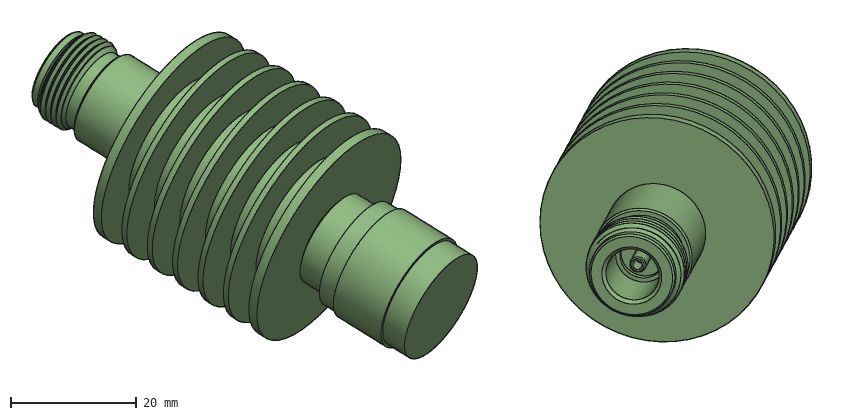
import cadquery as cq

total_length = 77.0

sink_start = 21.7
sink_length = 32.8
sink_radius = 19.0
core_radius = 11.7
flange_thickness = 1.6
fin_count = 5
fin_thickness = 1.0
fin_pitch = 5.1

jack_nose_radius = 6.9
jack_nose_chamfer = 0.3
jack_body_start = 9.25
jack_body_end = 21.25
jack_body_radius = 8.0
jack_body_chamfer = 0.3

thread_start = 1.4
thread_end = 7.0
thread_crest_radius = 8.0
thread_groove_depth = 0.6
groove_root_width = 0.1
groove_crest_width = 1.0
groove_overrun = 0.04
helix_start = 0.4
helix_turns = 7
helix_length = 7.4
rod_overrun = 3.85

socket_radius = 4.3
socket_mouth_chamfer = 0.55
socket_depth = 9.0
inner_socket_radius = 3.6
inner_socket_depth = 10.0
contact_radius = 1.3
contact_chamfer = 0.2
contact_hole_radius = 0.8
contact_hole_depth = 3.1
contact_tip = 5.0

plug_neck_radius = 7.3
plug_body_start = 55.0
plug_body_radius = 8.25
nut_start = 59.9
nut_radius = 9.6
nut_band_start = 63.1
nut_band_end = 72.6
nut_band_radius = 10.1

sink_end = sink_start + sink_length
sink_middle = sink_start + sink_length / 2
thread_pitch = helix_length / helix_turns


def disc(start, end, radius):
    """Solid cylinder on the X axis between two stations."""
    return cq.Workplane("YZ", origin=(start, 0, 0)).circle(radius).extrude(end - start)


def revolved(profile):
    """Solid of revolution about X from (x, radius) points."""
    return cq.Workplane("XY").polyline(profile).close().revolve(360, (0, 0, 0), (1, 0, 0))


def make_heat_sink():
    """Finned core with a thicker flange at each end."""
    sink = disc(sink_start, sink_end, core_radius)
    sink = sink.union(disc(sink_start, sink_start + flange_thickness, sink_radius))
    sink = sink.union(disc(sink_end - flange_thickness, sink_end, sink_radius))
    for index in range(fin_count):
        fin_middle = sink_middle + (index - (fin_count - 1) / 2) * fin_pitch
        fin_start = fin_middle - fin_thickness / 2
        sink = sink.union(disc(fin_start, fin_start + fin_thickness, sink_radius))
    return sink


def make_thread_groove():
    """Right-hand helical groove, wound about Z and then laid along X."""
    root_radius = thread_crest_radius - thread_groove_depth
    outer_radius = thread_crest_radius + groove_overrun
    root_half_width = groove_root_width / 2
    flank_slope = (groove_crest_width / 2 - root_half_width) / thread_groove_depth
    outer_half_width = root_half_width + (outer_radius - root_radius) * flank_slope
    helix = cq.Wire.makeHelix(thread_pitch, helix_length, root_radius)
    groove = (
        cq.Workplane("XZ")
        .moveTo(root_radius, -root_half_width)
        .lineTo(outer_radius, -outer_half_width)
        .lineTo(outer_radius, outer_half_width)
        .lineTo(root_radius, root_half_width)
        .close()
        .sweep(cq.Workplane(obj=helix), isFrenet=True)
    )
    return groove.rotate((0, 0, 0), (0, 1, 0), 90).translate((helix_start, 0, 0))


def make_thread():
    """Externally threaded ring with 45 degree ends."""
    ramp = thread_crest_radius - jack_nose_radius
    envelope = revolved([
        (thread_start, 0),
        (thread_start, jack_nose_radius),
        (thread_start + ramp, thread_crest_radius),
        (thread_end - ramp, thread_crest_radius),
        (thread_end, jack_nose_radius),
        (thread_end, 0),
    ])
    rod = disc(thread_start - rod_overrun, thread_end + rod_overrun, thread_crest_radius)
    return rod.cut(make_thread_groove()).intersect(envelope)


def make_socket():
    """Stepped bore of the jack, with the hollow centre contact left standing."""
    bore = revolved([
        (0, 0),
        (0, socket_radius + socket_mouth_chamfer),
        (socket_mouth_chamfer, socket_radius),
        (socket_depth, socket_radius),
        (socket_depth, inner_socket_radius),
        (inner_socket_depth, inner_socket_radius),
        (inner_socket_depth, 0),
    ])
    contact = disc(contact_tip, inner_socket_depth, contact_radius)
    contact = contact.faces("<X").chamfer(contact_chamfer)
    contact_hole = disc(contact_tip, contact_tip + contact_hole_depth, contact_hole_radius)
    return bore.cut(contact).union(contact_hole)


def make_jack():
    """Threaded jack: nose, thread, body and the neck that meets the heat sink."""
    jack = revolved([
        (0, 0),
        (0, jack_nose_radius - jack_nose_chamfer),
        (jack_nose_chamfer, jack_nose_radius),
        (jack_body_start, jack_nose_radius),
        (jack_body_start, jack_body_radius - jack_body_chamfer),
        (jack_body_start + jack_body_chamfer, jack_body_radius),
        (jack_body_end, jack_body_radius),
        (jack_body_end, jack_nose_radius),
        (sink_start, jack_nose_radius),
        (sink_start, 0),
    ])
    return jack.union(make_thread()).cut(make_socket())


def make_plug():
    """Plug: neck, body and coupling nut with a raised band."""
    plug = disc(sink_end, plug_body_start, plug_neck_radius)
    plug = plug.union(disc(plug_body_start, nut_start, plug_body_radius))
    plug = plug.union(disc(nut_start, total_length, nut_radius))
    return plug.union(disc(nut_band_start, nut_band_end, nut_band_radius))


heat_sink = make_heat_sink()
jack = make_jack()
plug = make_plug()

result = cq.Compound.makeCompound([
    heat_sink.solids().val(),
    jack.solids().val(),
    plug.solids().val(),
])